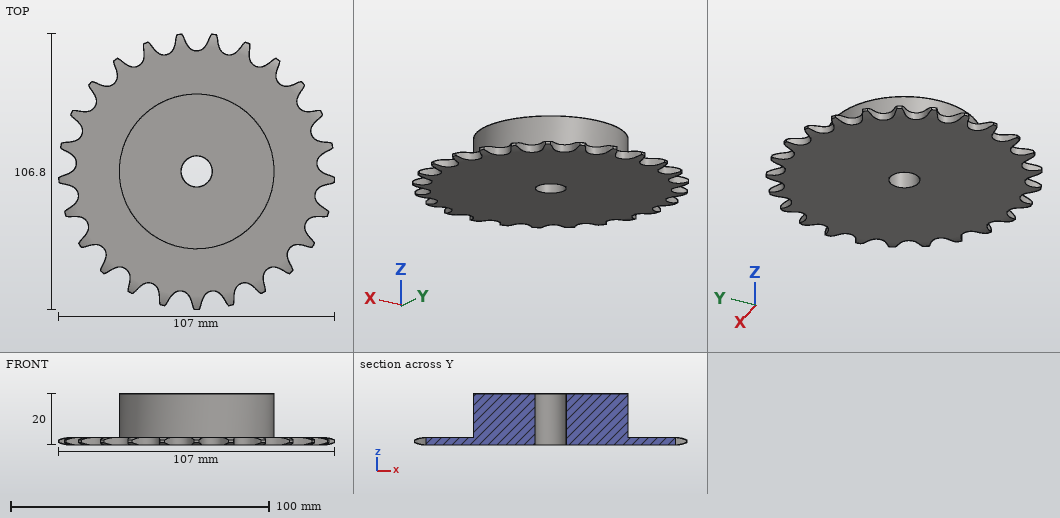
import cadquery as cq
import math


tooth_count = 25
tip_diameter = 107.1
plate_thickness = 3.0
hub_diameter = 60.0
overall_height = 20.0
bore_diameter = 12.0

root_radius = 46.8
seat_radius = 4.0
seat_half_angle = math.radians(52.6)
working_radius = 10.2
working_angle = math.radians(15.8)
straight_length = 1.02
topping_radius = 6.4

face_rounding_start_radius = 48.6
face_rounding_radius = 13.0

tip_radius = tip_diameter / 2
tooth_pitch = 2 * math.pi / tooth_count


def polar(radius, angle):
    """Point at a radius and at an angle measured from +Y towards +X."""
    return radius * math.sin(angle), radius * math.cos(angle)


def shifted(point, distance, angle):
    """Point moved by a distance in the direction at an angle measured from +Y towards +X."""
    step_x, step_y = polar(distance, angle)
    return point[0] + step_x, point[1] + step_y


def half_gap_points():
    """Points of the +X half of the gap on +Y, in order from the seat end to the tip circle."""
    seat_normal = math.pi - seat_half_angle
    flank_normal = seat_normal - working_angle
    seat_center = (0, root_radius + seat_radius)
    seat_end = shifted(seat_center, seat_radius, seat_normal)

    working_center = shifted(seat_end, -working_radius, seat_normal)
    working_middle = shifted(working_center, working_radius, (seat_normal + flank_normal) / 2)
    working_end = shifted(working_center, working_radius, flank_normal)
    straight_end = shifted(working_end, straight_length, flank_normal - math.pi / 2)

    topping_center = shifted(straight_end, topping_radius, flank_normal)
    center_x, center_y = topping_center
    center_distance = math.hypot(center_x, center_y)
    cosine = (center_distance**2 + tip_radius**2 - topping_radius**2) / (2 * center_distance * tip_radius)
    tip = polar(tip_radius, math.atan2(center_x, center_y) - math.acos(cosine))

    start_direction = flank_normal - math.pi
    end_direction = math.atan2(tip[0] - center_x, tip[1] - center_y)
    topping_middle = shifted(topping_center, topping_radius, (start_direction + end_direction) / 2)
    return seat_end, working_middle, working_end, straight_end, topping_middle, tip


def turned(point, angle):
    """Point turned about the axis from +Y towards +X."""
    x, y = point
    return (
        x * math.cos(angle) + y * math.sin(angle),
        y * math.cos(angle) - x * math.sin(angle),
    )


def tooth_plate():
    """Flat toothed plate with a gap centered on +Y."""
    half_gap = half_gap_points()
    mirrored_half_gap = [(-x, y) for x, y in half_gap]

    outline = cq.Workplane("XY").moveTo(*mirrored_half_gap[0])
    for index in range(tooth_count):
        gap = index * tooth_pitch
        next_gap = gap + tooth_pitch
        seat_end, working_middle, working_end, straight_end, topping_middle, tip = [
            turned(point, gap) for point in half_gap
        ]
        next_seat, next_working_middle, next_working, next_straight, next_topping_middle, next_tip = [
            turned(point, next_gap) for point in mirrored_half_gap
        ]
        outline = (
            outline
            .threePointArc(polar(root_radius, gap), seat_end)
            .threePointArc(working_middle, working_end)
            .lineTo(*straight_end)
            .threePointArc(topping_middle, tip)
            .threePointArc(polar(tip_radius, gap + tooth_pitch / 2), next_tip)
            .threePointArc(next_topping_middle, next_straight)
            .lineTo(*next_working)
            .threePointArc(next_working_middle, next_seat)
        )
    return outline.close().extrude(plate_thickness)


def face_rounding_envelope():
    """Disc whose two faces curve towards each other from the rounding start to the tips."""
    def face_drop(radius):
        run = radius - face_rounding_start_radius
        return face_rounding_radius - math.sqrt(face_rounding_radius**2 - run**2)

    middle_radius = (face_rounding_start_radius + tip_radius) / 2
    middle_drop = face_drop(middle_radius)
    tip_drop = face_drop(tip_radius)
    return (
        cq.Workplane("XZ")
        .lineTo(face_rounding_start_radius, 0)
        .threePointArc((middle_radius, middle_drop), (tip_radius, tip_drop))
        .lineTo(tip_radius, plate_thickness - tip_drop)
        .threePointArc(
            (middle_radius, plate_thickness - middle_drop),
            (face_rounding_start_radius, plate_thickness),
        )
        .lineTo(0, plate_thickness)
        .close()
        .revolve(360, (0, 0, 0), (0, 1, 0))
    )


toothed_disc = tooth_plate().intersect(face_rounding_envelope())
hub = cq.Workplane("XY").circle(hub_diameter / 2).extrude(overall_height)
bore = cq.Workplane("XY").circle(bore_diameter / 2).extrude(overall_height)

result = toothed_disc.union(hub).cut(bore)